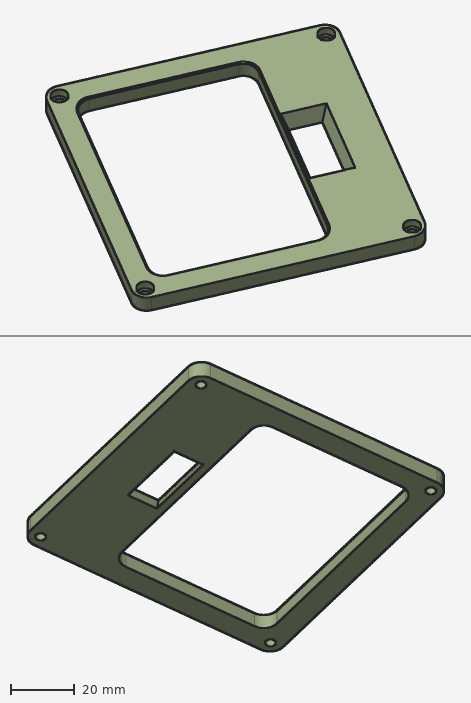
import cadquery as cq

plate_size = 97.0
plate_thickness = 6.0
plate_corner_radius = 5.0

screw_spacing = 88.3
screw_hole_diameter = 3.4
screw_head_diameter = 5.6
screw_head_depth = plate_thickness / 2

key_window_width = 81.0
key_window_height = 59.5
key_window_center_y = -10.8
key_window_corner_radius = 5.0
key_window_chamfer = 0.5
chamfer_angle = 45

display_width = 29.5
display_height = 15.1
display_center_x = -0.6
display_center_y = 27.4
display_side_inset = 2.0


def make_plate():
    """Square plate with rounded vertical corners, resting on Z = 0."""
    plate = cq.Workplane("XY").box(plate_size, plate_size, plate_thickness, centered=(True, True, False))
    return plate.edges("|Z").fillet(plate_corner_radius)


def cut_screw_holes(plate):
    """Counterbored through hole near each corner."""
    return (
        plate.faces(">Z")
        .workplane(origin=(0, 0, plate_thickness))
        .rect(screw_spacing, screw_spacing, forConstruction=True)
        .vertices()
        .cboreHole(screw_hole_diameter, screw_head_diameter, screw_head_depth)
    )


def make_key_window():
    """Solid that removes the key window and flares out at its top edge."""
    outline = (
        cq.Sketch()
        .rect(key_window_width, key_window_height)
        .vertices()
        .fillet(key_window_corner_radius)
    )
    opening = cq.Workplane("XY").placeSketch(outline).extrude(plate_thickness)
    flare_start = plate_thickness - key_window_chamfer
    flare = (
        cq.Workplane("XY", origin=(0, 0, flare_start))
        .placeSketch(outline)
        .extrude(key_window_chamfer, taper=-chamfer_angle)
    )
    return opening.union(flare).translate((0, key_window_center_y, 0))


def make_display_window():
    """Four-sided frustum that removes the display window."""
    return (
        cq.Workplane("XY", origin=(display_center_x, display_center_y, plate_thickness))
        .rect(display_width, display_height)
        .workplane(offset=-plate_thickness)
        .rect(display_width - 2 * display_side_inset, display_height - 2 * display_side_inset)
        .loft(ruled=True)
    )


plate_with_holes = cut_screw_holes(make_plate())
result = plate_with_holes.cut(make_key_window()).cut(make_display_window())